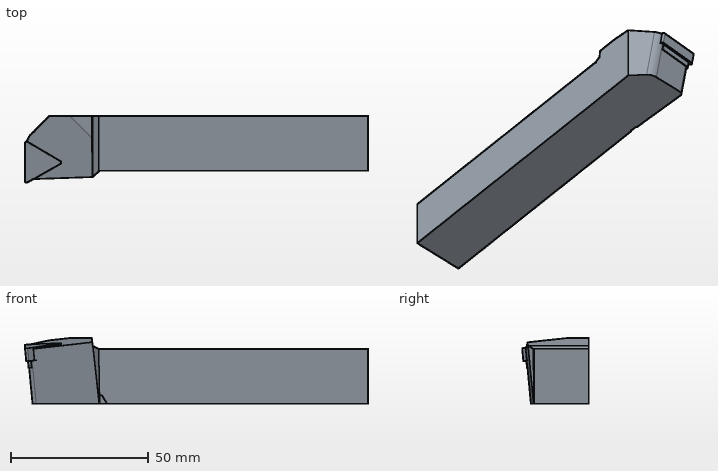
import cadquery as cq
import math

length = 125.0
shank_size = 20.0
overall_height = 24.0
front_overhang = 4.4

insert_slope = 0.095
insert_side = 16.0
insert_radius = 0.6
insert_thickness = 4.8
insert_nose_z = 20.1
seat_inset = 0.6
seat_thickness = 2.5

head_left = 2.8
head_front = -1.2
head_front_slope = 0.045
head_diagonal_y = 11.1
head_nose_radius = 1.2
head_diagonal_radius = 4.9
top_height = 20.0
top_slope_x = 0.11
top_slope_y = 0.11
head_rear = 24.4
ramp_start = 24.8
ramp_height = 1.1
ramp_end = 26.9
foot_end = 27.2
ramp_front = -2.5

facet_flat_end = 28.0
facet_end = 30.0
facet_height = 3.1
facet_depth = 0.19

clearance = 50.0

tip_offset = insert_radius * (math.sqrt(3) - 1)
insert_normal = cq.Vector(-insert_slope, -insert_slope, 1)
edge_direction = cq.Vector(0, 1, insert_slope)
insert_plane = cq.Plane(
    origin=(0, -front_overhang, insert_nose_z),
    xDir=edge_direction.cross(insert_normal),
    normal=insert_normal,
)


def triangle_prism(inset, top, bottom):
    """Rounded triangular prism between two local heights, shrunk evenly by inset."""
    corner_shift = inset * math.sqrt(3)
    side = insert_side - 2 * corner_shift
    first_y = corner_shift - tip_offset
    return (
        cq.Workplane(insert_plane)
        .workplane(offset=bottom)
        .polyline([
            (inset, first_y),
            (inset + side * math.sqrt(3) / 2, first_y + side / 2),
            (inset, first_y + side),
        ])
        .close()
        .extrude(top - bottom)
        .edges(cq.selectors.ParallelDirSelector(insert_normal))
        .fillet(insert_radius)
    )


def make_head_prism():
    """Head outline swept along the insert normal, which gives the side faces their relief."""
    rear_front_y = head_front + head_front_slope * (foot_end + clearance - head_left)
    outline = [
        (head_left, head_front),
        (foot_end + clearance, rear_front_y),
        (foot_end + clearance, shank_size + clearance),
        (shank_size + clearance - head_diagonal_y, shank_size + clearance),
        (head_left, head_left + head_diagonal_y),
    ]
    wire = cq.Wire.makePolygon([cq.Vector(x, y, 0) for x, y in outline], close=True)
    half_rise = insert_normal * (overall_height / 2)
    prism = cq.Workplane(cq.Solid.extrudeLinear(wire, [], insert_normal * overall_height))
    nose_edge = cq.selectors.NearestToPointSelector(cq.Vector(head_left, head_front, 0) + half_rise)
    diagonal_edge = cq.selectors.NearestToPointSelector(
        cq.Vector(head_left, head_left + head_diagonal_y, 0) + half_rise
    )
    prism = prism.edges(nose_edge).fillet(head_nose_radius)
    return prism.edges(diagonal_edge).fillet(head_diagonal_radius)


def make_head():
    head = make_head_prism()
    side_profile = (
        cq.Workplane("XZ", origin=(0, shank_size, 0))
        .polyline([
            (-clearance, 0),
            (foot_end, 0),
            (ramp_end, shank_size),
            (ramp_start, shank_size + ramp_height),
            (head_rear, overall_height),
            (-clearance, overall_height),
        ])
        .close()
        .extrude(clearance)
    )
    plan_profile = (
        cq.Workplane("XY")
        .polyline([
            (-clearance, -clearance),
            (head_rear, -clearance),
            (head_rear, ramp_front),
            (foot_end, 0),
            (foot_end, shank_size),
            (-clearance, shank_size),
        ])
        .close()
        .extrude(overall_height)
    )
    top_plane = cq.Plane(
        origin=(0, 0, top_height),
        xDir=(1, 0, top_slope_x),
        normal=(-top_slope_x, -top_slope_y, 1),
    )
    above_top = cq.Workplane(top_plane).rect(4 * clearance, 4 * clearance).extrude(clearance)
    return head.intersect(side_profile).intersect(plan_profile).cut(above_top)


def make_shank():
    return cq.Workplane("XY").box(
        length - ramp_end, shank_size, shank_size, centered=False
    ).translate((ramp_end, 0, 0))


def make_facet_cut():
    return (
        cq.Workplane("XZ")
        .polyline([
            (foot_end, 0),
            (foot_end, facet_height),
            (facet_flat_end, facet_height),
            (facet_end, 0),
        ])
        .close()
        .extrude(-facet_depth)
    )


def make_holder():
    seat = triangle_prism(seat_inset, -insert_thickness, -insert_thickness - seat_thickness)
    pocket = triangle_prism(0, insert_thickness, -insert_thickness)
    return make_shank().union(make_head()).union(seat).cut(pocket).cut(make_facet_cut())


holder = make_holder()
insert = triangle_prism(0, 0, -insert_thickness)

result = cq.Compound.makeCompound([holder.val(), insert.val()])